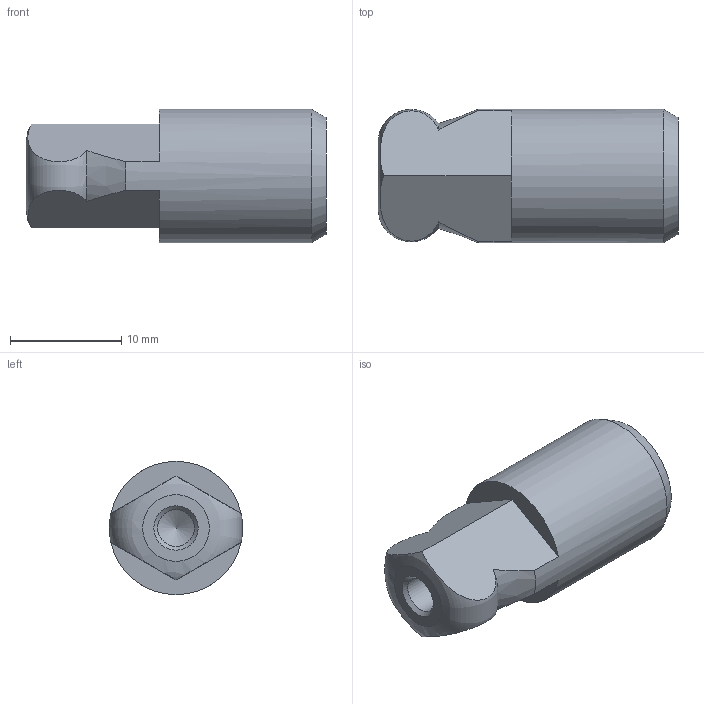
import cadquery as cq
import math

body_radius = 6.0
total_length = 27.0
shoulder_x = 12.0

tail_chamfer_length = 1.3
tail_chamfer_angle = 30.0

head_round_radius = 3.0
neck_radius = 4.72
neck_cone_angle = 20.0

across_flats = 8.1
flat_normal_angles = (60.0, 120.0, 240.0, 300.0)

hole_diameter = 3.3
hole_depth = 10.0
hole_mouth_diameter = 4.0
drill_point_angle = 118.0


def turned_pin():
    """Revolve the outer profile about the X axis."""
    round_center_r = body_radius - head_round_radius
    round_center_x = head_round_radius
    neck_angle = math.asin((neck_radius - round_center_r) / head_round_radius)
    neck_x = round_center_x + head_round_radius * math.cos(neck_angle)
    neck_depth = body_radius - neck_radius
    cone_end_x = neck_x + neck_depth / math.tan(math.radians(neck_cone_angle))
    tail_drop = tail_chamfer_length * math.tan(math.radians(tail_chamfer_angle))
    profile = (
        cq.Workplane("XY")
        .moveTo(0, 0)
        .lineTo(0, round_center_r)
        .threePointArc((round_center_x, body_radius), (neck_x, neck_radius))
        .lineTo(cone_end_x, body_radius)
        .lineTo(total_length - tail_chamfer_length, body_radius)
        .lineTo(total_length, body_radius - tail_drop)
        .lineTo(total_length, 0)
        .close()
    )
    return profile.revolve(360, (0, 0, 0), (1, 0, 0))


def flat_cutter(normal_angle):
    """Block outside one flat; the angle is measured from +Y toward +Z."""
    block = cq.Workplane("XY").box(
        shoulder_x, body_radius, 2 * body_radius, centered=(False, False, True)
    )
    block = block.translate((0, across_flats / 2, 0))
    return block.rotate((0, 0, 0), (1, 0, 0), normal_angle)


def tip_hole():
    """Drilled hole with a 45 degree mouth chamfer and a conical bottom."""
    hole_radius = hole_diameter / 2
    mouth_radius = hole_mouth_diameter / 2
    mouth_depth = mouth_radius - hole_radius
    point_length = hole_radius / math.tan(math.radians(drill_point_angle / 2))
    profile = (
        cq.Workplane("XY")
        .moveTo(0, 0)
        .lineTo(0, mouth_radius)
        .lineTo(mouth_depth, hole_radius)
        .lineTo(hole_depth, hole_radius)
        .lineTo(hole_depth + point_length, 0)
        .close()
    )
    return profile.revolve(360, (0, 0, 0), (1, 0, 0))


part = turned_pin()
for angle in flat_normal_angles:
    part = part.cut(flat_cutter(angle))
result = part.cut(tip_hole())